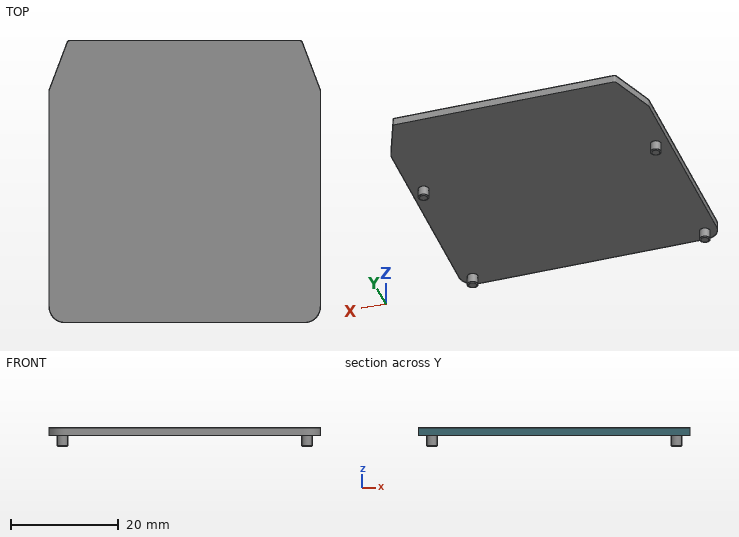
import cadquery as cq

plate_width = 50.5
plate_length = 52.5
plate_thickness = 1.5
front_corner_radius = 3.0
back_edge_width = 43.5
back_taper_length = 9.25
taper_corner_radius = 0.5

pin_diameter = 2.0
pin_length = 2.0
pin_tip_chamfer_height = 0.15
pin_tip_chamfer_inset = 0.25
pin_side_inset = 2.5
pin_front_inset = 2.5
pin_row_spacing = 29.0

half_width = plate_width / 2
half_length = plate_length / 2
half_back_width = back_edge_width / 2
taper_start_y = half_length - back_taper_length


def make_plate():
    """Flat plate with rounded front corners and a tapered back end; its underside is at Z = 0."""
    plate = (
        cq.Workplane("XY")
        .moveTo(-half_width, -half_length)
        .lineTo(half_width, -half_length)
        .lineTo(half_width, taper_start_y)
        .lineTo(half_back_width, half_length)
        .lineTo(-half_back_width, half_length)
        .lineTo(-half_width, taper_start_y)
        .close()
        .extrude(plate_thickness)
    )
    plate = plate.edges("|Z").edges("<Y").fillet(front_corner_radius)
    taper_corners = plate.edges("|Z").filter(lambda edge: edge.Center().y > 0)
    return taper_corners.fillet(taper_corner_radius)


def make_pins():
    """Four round pins hanging below the plate, with chamfered tips."""
    pin_x = half_width - pin_side_inset
    front_row_y = -half_length + pin_front_inset
    back_row_y = front_row_y + pin_row_spacing
    centers = [(x, y) for x in (-pin_x, pin_x) for y in (front_row_y, back_row_y)]
    return (
        cq.Workplane("XY")
        .pushPoints(centers)
        .circle(pin_diameter / 2)
        .extrude(-pin_length)
        .faces("<Z")
        .edges()
        .chamfer(pin_tip_chamfer_height, pin_tip_chamfer_inset)
    )


result = make_plate().union(make_pins())